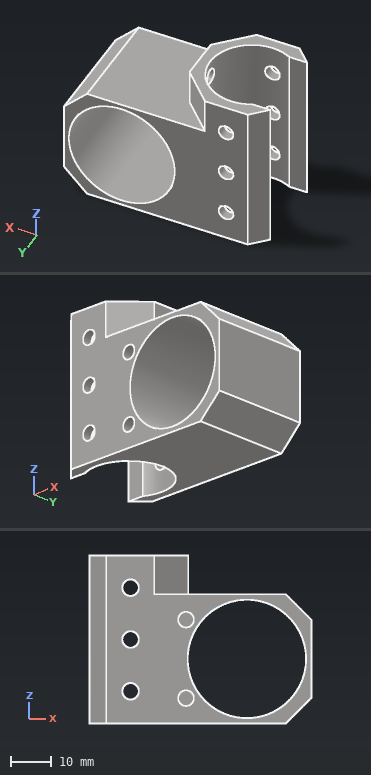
import cadquery as cq

length = 54.5
width = 28.575
height = 41.275
body_height = 31.75

large_bore_diameter = 29.0
large_bore_x = length - body_height / 2
large_bore_z = body_height / 2
end_chamfer = 6.35

socket_diameter = 22.86
socket_x = 10.1
mouth_width = 20.32
mouth_chamfer = (width - mouth_width) / 2

tower_end_x = 24.25
tower_chamfer = 8.4

cross_hole_diameter = 4.0
cross_hole_count = 3
cross_hole_pitch = 12.7
lowest_cross_hole_z = 7.94

blind_hole_diameter = 3.85
blind_hole_depth = 12.7
blind_hole_x = 23.7
blind_hole_edge_offset = 6.25

back_hole_diameter = 4.0
back_hole_z = (body_height + height) / 2


def make_body():
    """Lower block with both corners of its +X end chamfered."""
    block = cq.Workplane("XY").box(length, width, body_height, centered=(False, True, False))
    block = block.faces(">X").edges("|Y").chamfer(end_chamfer)
    return block.faces("<X").edges("|Z").chamfer(mouth_chamfer)


def make_tower():
    """Extension of the socket above the body, chamfered at all four corners."""
    tower = (
        cq.Workplane("XY", origin=(0, 0, body_height))
        .box(tower_end_x, width, height - body_height, centered=(False, True, False))
    )
    tower = tower.faces("<X").edges("|Z").chamfer(mouth_chamfer)
    return tower.faces(">X").edges("|Z").chamfer(tower_chamfer)


def make_socket():
    """Full-height vertical bore with a parallel-sided mouth to the -X face."""
    bore = cq.Workplane("XY").center(socket_x, 0).circle(socket_diameter / 2).extrude(height)
    mouth = cq.Workplane("XY").box(socket_x, mouth_width, height, centered=(False, True, False))
    return bore.union(mouth)


def hole_along_y(x, z, diameter, depth):
    """Cylinder entering the -Y face at (x, z)."""
    return (
        cq.Workplane("XZ", origin=(x, -width / 2, z))
        .circle(diameter / 2)
        .extrude(-depth)
    )


def make_back_hole():
    """Cylinder from the socket axis out through the +X side of the tower."""
    return (
        cq.Workplane("YZ", origin=(socket_x, 0, back_hole_z))
        .circle(back_hole_diameter / 2)
        .extrude(tower_end_x - socket_x)
    )


result = make_body().union(make_tower()).cut(make_socket())
result = result.cut(hole_along_y(large_bore_x, large_bore_z, large_bore_diameter, width))

for index in range(cross_hole_count):
    cross_hole_z = lowest_cross_hole_z + index * cross_hole_pitch
    result = result.cut(hole_along_y(socket_x, cross_hole_z, cross_hole_diameter, width))

for blind_hole_z in (blind_hole_edge_offset, body_height - blind_hole_edge_offset):
    result = result.cut(hole_along_y(blind_hole_x, blind_hole_z, blind_hole_diameter, blind_hole_depth))

result = result.cut(make_back_hole())